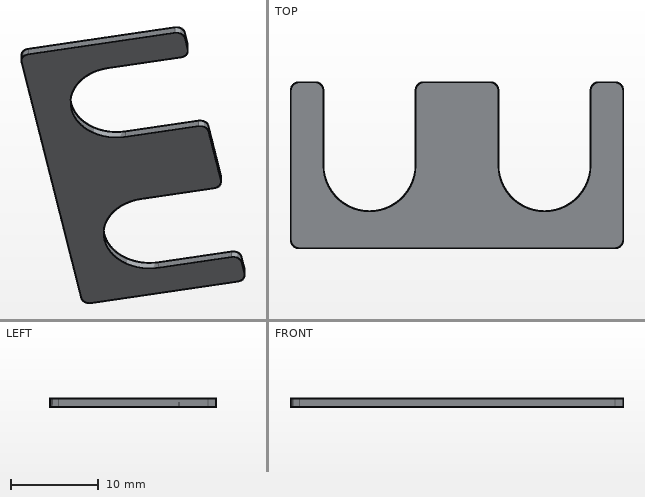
import cadquery as cq

length = 38.0
width = 19.0
thickness = 1.0
corner_radius = 1.0

slot_width = 10.5
slot_spacing = 20.0
slot_radius = slot_width / 2
back_edge = width / 2


def open_slot(center_x):
    """Cutter for one slot: a round end and a straight run out to the back edge."""
    round_end = cq.Workplane("XY").center(center_x, 0).circle(slot_radius).extrude(thickness)
    straight_run = (
        cq.Workplane("XY")
        .center(center_x, back_edge / 2)
        .rect(slot_width, back_edge)
        .extrude(thickness)
    )
    return round_end.union(straight_run)


plate = cq.Workplane("XY").rect(length, width).extrude(thickness)
for side in (-1, 1):
    plate = plate.cut(open_slot(side * slot_spacing / 2))

corners = plate.faces("<Y or >Y").edges("|Z")
result = corners.fillet(corner_radius)